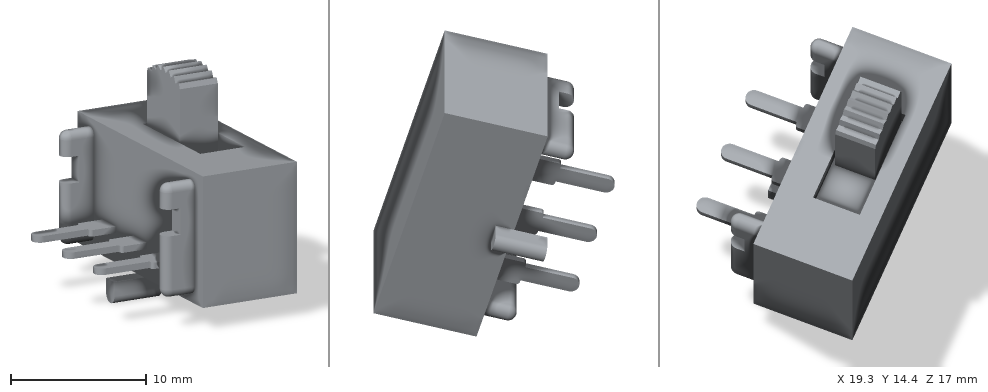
import cadquery as cq
import math


housing_width = 19.3
housing_depth = 7.93
housing_height = 10.17

slot_length = 8.88
slot_width = 3.75
slot_depth = 1.27
slot_center_y = 4.52

actuator_length = 5.1
actuator_width = 3.2
actuator_rise = 5.08
actuator_center_x = -1.75
actuator_top_z = housing_height + actuator_rise
teeth_per_side = 3
tooth_pitch_angle = 10.8
crest_radius = 4.44
root_radius = 4.07
shoulder_drop = 1.08

standoff_thickness = 1.27
standoff_radius = standoff_thickness / 2
standoff_reach = 2.53
rail_offset_x = 7.75
rail_height = 8.8
rail_center_z = housing_height / 2
notch_depth = 1.31
notch_height = 2.05
notch_below_rail_top = 1.93
peg_drop = 1.78
peg_length = 3.98

terminal_count = 3
terminal_pitch = 4.77
terminal_thickness = 0.5
terminal_center_z = 2.55
terminal_length = 6.5
shoulder_width = 2.08
shoulder_length = 2.18
shoulder_fillet = 0.25
blade_width = 1.27


def make_block():
    """Housing block with the open slot in its top face."""
    block = cq.Workplane("XY").box(housing_width, housing_depth, housing_height, centered=(True, False, False))
    slot = (
        cq.Workplane("XY", origin=(0, slot_center_y, housing_height))
        .rect(slot_length, slot_width)
        .extrude(-slot_depth)
    )
    return block.cut(slot)


def make_actuator():
    """Actuator rising from the slot floor; its crests and roots lie on two concentric arcs."""
    base_z = housing_height - slot_depth
    left_x = actuator_center_x - actuator_length / 2
    right_x = actuator_center_x + actuator_length / 2
    shoulder_z = actuator_top_z - shoulder_drop
    arc_center_z = actuator_top_z - crest_radius

    outline = [(left_x, base_z), (left_x, shoulder_z)]
    half_steps = 2 * teeth_per_side
    for step in range(-half_steps, half_steps + 1):
        angle = math.radians(step * tooth_pitch_angle / 2)
        radius = crest_radius if step % 2 == 0 else root_radius
        outline.append((actuator_center_x + radius * math.sin(angle), arc_center_z + radius * math.cos(angle)))
    outline += [(right_x, shoulder_z), (right_x, base_z)]

    return (
        cq.Workplane("XZ", origin=(0, slot_center_y, 0))
        .polyline(outline)
        .close()
        .extrude(actuator_width / 2, both=True)
    )


def make_rail(center_x):
    """Upright rail with fully rounded edges and ball-shaped corners, notched across its front."""
    edge_y = standoff_radius - standoff_reach
    edge_length = rail_height - standoff_thickness
    web = (
        cq.Workplane("XZ", origin=(center_x, 0, rail_center_z))
        .slot2D(rail_height, standoff_thickness, 90)
        .extrude(-edge_y)
    )
    rounded_edge = cq.Workplane("XY", origin=(center_x, edge_y, rail_center_z)).cylinder(edge_length, standoff_radius)
    rail = web.union(rounded_edge)
    for side in (-1, 1):
        corner = cq.Workplane("XY", origin=(center_x, edge_y, rail_center_z + side * edge_length / 2))
        rail = rail.union(corner.sphere(standoff_radius))

    notch_top_z = rail_center_z + rail_height / 2 - notch_below_rail_top
    notch = cq.Workplane("XY", origin=(center_x, -standoff_reach, notch_top_z - notch_height)).box(
        standoff_thickness, notch_depth, notch_height, centered=(True, False, False)
    )
    return rail.cut(notch)


def make_peg():
    """Round-bottomed peg along Y under the housing, reaching as far forward as the rails."""
    straight_drop = peg_drop - standoff_radius
    return (
        cq.Workplane("XZ", origin=(0, -standoff_reach, 0))
        .moveTo(-standoff_radius, 0)
        .lineTo(-standoff_radius, -straight_drop)
        .threePointArc((0, -peg_drop), (standoff_radius, -straight_drop))
        .lineTo(standoff_radius, 0)
        .close()
        .extrude(-peg_length)
    )


def make_housing():
    """One-piece housing carrying the actuator, the rails and the peg."""
    body = make_block().union(make_actuator()).union(make_peg())
    for side in (-1, 1):
        body = body.union(make_rail(side * rail_offset_x))
    return body


def make_terminal(center_x):
    """Flat terminal: a wide shoulder at the housing, then a narrow blade with a round tip."""
    shoulder = (
        cq.Workplane("XY", origin=(center_x, -shoulder_length / 2, terminal_center_z))
        .box(shoulder_width, shoulder_length, terminal_thickness)
        .edges("|Z and <Y")
        .fillet(shoulder_fillet)
    )
    blade_half = blade_width / 2
    tip_start_y = blade_half - terminal_length
    blade = (
        cq.Workplane("XY", origin=(center_x, 0, terminal_center_z))
        .moveTo(-blade_half, 0)
        .lineTo(-blade_half, tip_start_y)
        .threePointArc((0, -terminal_length), (blade_half, tip_start_y))
        .lineTo(blade_half, 0)
        .close()
        .extrude(terminal_thickness / 2, both=True)
    )
    return shoulder.union(blade)


housing = make_housing()

terminals = []
for index in range(terminal_count):
    offset_from_middle = index - (terminal_count - 1) / 2
    terminals.append(make_terminal(offset_from_middle * terminal_pitch).val())

result = cq.Compound.makeCompound([housing.val(), *terminals])